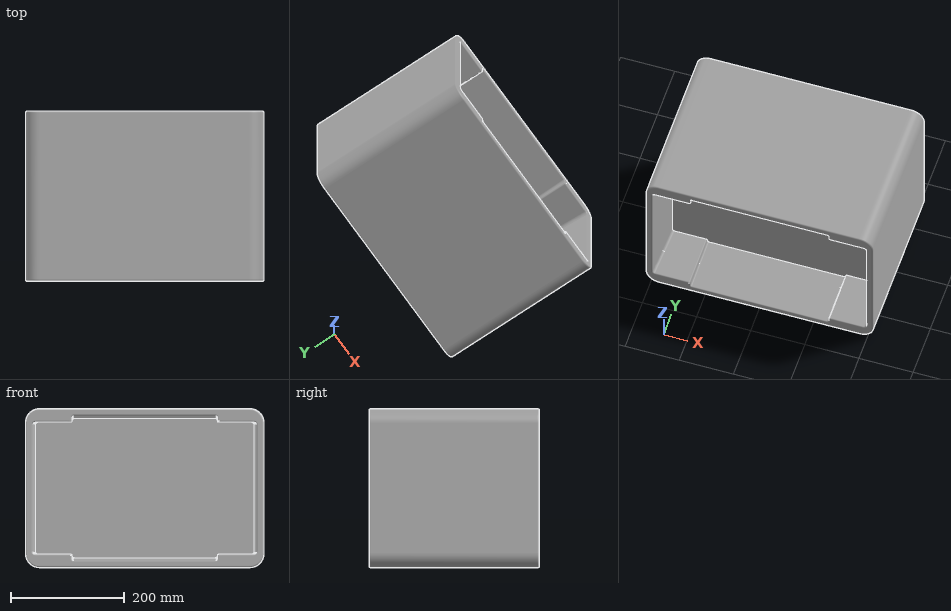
import cadquery as cq

WIDTH = 420.0
DEPTH = 300.0
HEIGHT = 280.0
OUTER_CORNER_RADIUS = 25.0
OUTER_EDGE_RADIUS = 3.5

POCKET_DEPTH = 100.0
MOUTH_WALL = 12.5
FLOOR_WALL = 17.5
LEDGE_WALL = 24.0
RECESS_WIDTH = 255.5
POCKET_CORNER_RADIUS = 5.0
LEDGE_EDGE_RADIUS = 2.5
RECESS_CORNER_RADIUS = 3.5
MOUTH_EDGE_RADIUS = 2.5

FRONT_Y = -DEPTH / 2
FLOOR_Y = FRONT_Y + POCKET_DEPTH
LEDGE_HALF_HEIGHT = HEIGHT / 2 - LEDGE_WALL


def make_outer_block():
    """Block with rounded long corners and softened front and back rims."""
    block = cq.Workplane("XY").box(WIDTH, DEPTH, HEIGHT)
    block = block.edges("|Y").fillet(OUTER_CORNER_RADIUS)
    return block.faces("<Y or >Y").edges().fillet(OUTER_EDGE_RADIUS)


def pocket_outline(y, wall):
    """Cross section at y: a rectangle with a wide recess in its roof and in its floor."""
    side_x = WIDTH / 2 - wall
    recess_x = RECESS_WIDTH / 2
    recess_z = HEIGHT / 2 - wall
    upper_half = [
        (side_x, LEDGE_HALF_HEIGHT),
        (recess_x, LEDGE_HALF_HEIGHT),
        (recess_x, recess_z),
        (-recess_x, recess_z),
        (-recess_x, LEDGE_HALF_HEIGHT),
        (-side_x, LEDGE_HALF_HEIGHT),
    ]
    lower_half = [(-x, -z) for x, z in upper_half]
    points = [cq.Vector(x, y, z) for x, z in upper_half + lower_half]
    return cq.Wire.makePolygon(points, close=True)


def edges_along_pocket(pocket):
    """Edges that run from the mouth to the pocket floor."""
    return [edge for edge in pocket.Edges() if edge.BoundingBox().ylen > POCKET_DEPTH / 2]


def is_at_recess(edge):
    """True for an edge at the side of a recess, False for one in an outer pocket corner."""
    return abs(edge.Center().x) < (RECESS_WIDTH + WIDTH) / 4


def is_on_ledge(edge):
    """True for an edge at ledge height, False for one at the bottom of a recess."""
    return abs(edge.Center().z) < LEDGE_HALF_HEIGHT + LEDGE_EDGE_RADIUS / 2


def make_pocket():
    """Pocket volume whose side walls and recesses close in towards its floor."""
    mouth = pocket_outline(FRONT_Y, MOUTH_WALL)
    floor = pocket_outline(FLOOR_Y, FLOOR_WALL)
    pocket = cq.Solid.makeLoft([mouth, floor], True)
    long_edges = edges_along_pocket(pocket)
    corners = [edge for edge in long_edges if not is_at_recess(edge)]
    ledge_edges = [edge for edge in long_edges if is_at_recess(edge) and is_on_ledge(edge)]
    recess_corners = [edge for edge in long_edges if is_at_recess(edge) and not is_on_ledge(edge)]
    pocket = pocket.fillet(LEDGE_EDGE_RADIUS, ledge_edges)
    pocket = pocket.fillet(RECESS_CORNER_RADIUS, recess_corners)
    return pocket.fillet(POCKET_CORNER_RADIUS, corners)


def make_housing():
    """Outer block with the pocket cut in and the edge of its mouth rounded."""
    housing = make_outer_block().cut(cq.Workplane(make_pocket()))
    mouth = housing.faces("<Y").val().innerWires()[0]
    return housing.newObject(mouth.Edges()).fillet(MOUTH_EDGE_RADIUS)


housing = make_housing()

result = cq.Compound.makeCompound([housing.val()])